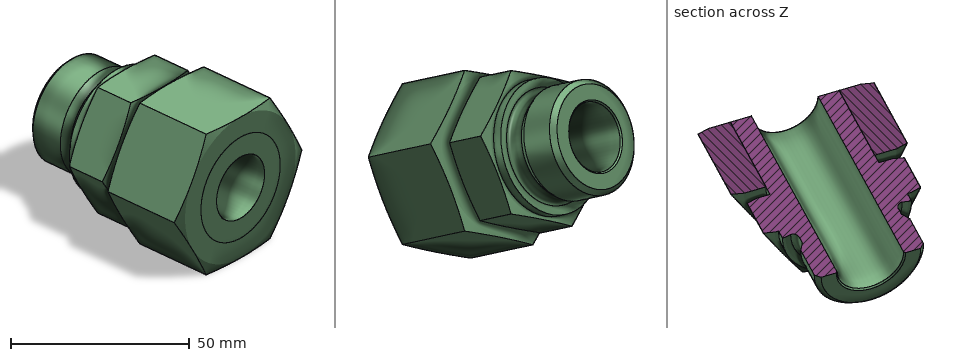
import cadquery as cq
import math


total_length = 65.0
thread_end = 11.8
neck_start = 14.35
neck_end = 16.65
collar_start = 18.0
body_hex_start = 20.9
body_hex_length = 14.2
nut_length = 27.0
nut_start = total_length - nut_length

bore_radius = 10.0
bore_chamfer = 0.45
thread_radius = 16.5
thread_chamfer = 1.5
neck_radius = 15.0
neck_fillet = 1.8
collar_radius = 19.5
sealing_edge_radius = 18.5

body_across_flats = 41.1
nut_across_flats = 46.0
hex_chamfer_angle = 15.0


def chamfered_hex(start, length, across_flats):
    """Hexagonal prism along X, flats up and down, with both ends coned down to the flats."""
    flat_radius = across_flats / 2
    corner_radius = flat_radius / math.cos(math.radians(30))
    chamfer_depth = (corner_radius - flat_radius) * math.tan(math.radians(hex_chamfer_angle))
    prism = cq.Workplane("YZ", origin=(start, 0, 0)).polygon(6, 2 * corner_radius).extrude(length)
    end = start + length
    cone_envelope = (
        cq.Workplane("XY")
        .moveTo(start, 0)
        .lineTo(start, flat_radius)
        .lineTo(start + chamfer_depth, corner_radius)
        .lineTo(end - chamfer_depth, corner_radius)
        .lineTo(end, flat_radius)
        .lineTo(end, 0)
        .close()
        .revolve(360, (0, 0, 0), (1, 0, 0))
    )
    return prism.intersect(cone_envelope)


def make_stud():
    """Turned stud end with its undercut neck and the collar with a hollowed sealing face."""
    fillet_end_x = neck_end + neck_fillet
    fillet_end_radius = neck_radius + neck_fillet
    fillet_run = neck_fillet * math.sin(math.radians(45))
    fillet_rise = neck_fillet * (1 - math.cos(math.radians(45)))
    return (
        cq.Workplane("XY")
        .lineTo(0, thread_radius - thread_chamfer)
        .lineTo(thread_chamfer, thread_radius)
        .lineTo(thread_end, thread_radius)
        .lineTo(neck_start, neck_radius)
        .lineTo(neck_end, neck_radius)
        .threePointArc(
            (neck_end + fillet_run, neck_radius + fillet_rise),
            (fillet_end_x, fillet_end_radius),
        )
        .lineTo(collar_start, sealing_edge_radius)
        .lineTo(collar_start, collar_radius)
        .lineTo(body_hex_start, collar_radius)
        .lineTo(body_hex_start, 0)
        .close()
        .revolve(360, (0, 0, 0), (1, 0, 0))
    )


def make_fitting():
    """Stud, hexagon and nut-side shank in one piece, bored right through."""
    body_hex = chamfered_hex(body_hex_start, body_hex_length, body_across_flats)
    shank_start = body_hex_start + body_hex_length
    shank = (
        cq.Workplane("YZ", origin=(shank_start, 0, 0))
        .circle(thread_radius)
        .extrude(total_length - shank_start)
    )
    bore = cq.Workplane("YZ").circle(bore_radius).extrude(total_length)
    solid = make_stud().union(body_hex).union(shank).cut(bore)
    bore_mouth = solid.faces("<X").edges(cq.selectors.RadiusNthSelector(0))
    return bore_mouth.chamfer(bore_chamfer)


def make_nut():
    """Hexagonal union nut around the shank."""
    shank_hole = cq.Workplane("YZ", origin=(nut_start, 0, 0)).circle(thread_radius).extrude(nut_length)
    return chamfered_hex(nut_start, nut_length, nut_across_flats).cut(shank_hole)


fitting = make_fitting()
nut = make_nut()

result = cq.Compound.makeCompound([fitting.solids().val(), nut.solids().val()])